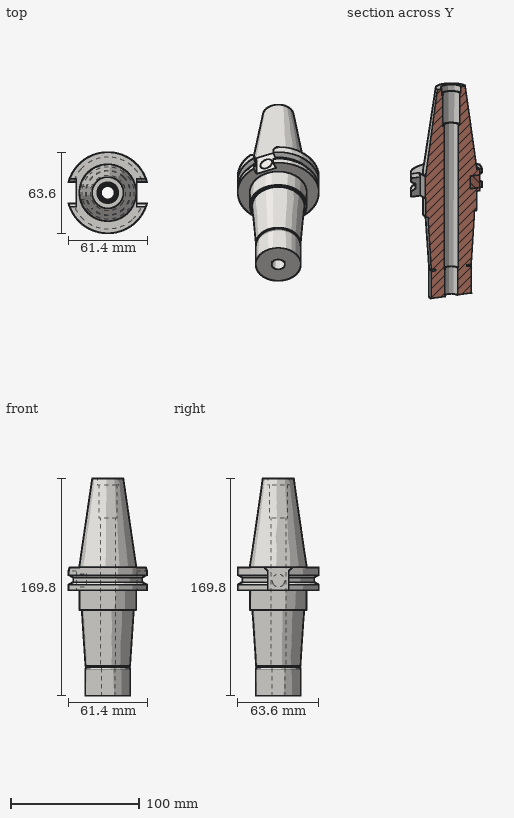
import cadquery as cq
import math

total_height = 169.8
taper_base_z = 101.4
flange_top_z = 100.4
flange_bottom_z = 82.4
collar_bottom_z = 66.8
body_bottom_z = 23.5
nose_top_z = 22.5

taper_top_radius = 12.2
taper_base_radius = 22.3
flange_radius = 31.8
groove_radius = 28.2
body_top_radius = 20.4
body_bottom_radius = 17.5
neck_radius = 13.8
collar_chamfer = 0.5

groove_center_z = 90.7
groove_floor_width = 3.4
groove_flank_angle = 30.0

slot_width = 16.5
left_slot_floor = 24.8
right_slot_floor = 22.8
slot_chamfer = 2.7

chip_diameter = 9.9
chip_depth = 8.2
chip_z = 90.4

mouth_radius = 8.2
mouth_depth = 5.1
thread_radius = 7.1
thread_depth = 30.5
through_radius = 6.0
nose_bore_radius = 5.3

nose_radius = 17.7
nose_chamfer_height = 1.7
nose_chamfer_width = 0.5


def revolve_profile(points):
    """Turn a closed (radius, z) outline about the Z axis."""
    return cq.Workplane("XZ").polyline(points).close().revolve(360, (0, 0), (0, 1))


def bore(radius, bottom_z, top_z):
    """Cylinder on the Z axis between two heights."""
    return cq.Workplane("XY", origin=(0, 0, bottom_z)).circle(radius).extrude(top_z - bottom_z)


def drive_slot(side, floor):
    """Cutter for one slot with a chamfered mouth; side is -1 for -X and +1 for +X."""
    half_width = slot_width / 2
    mouth_half_width = half_width + slot_chamfer
    chamfer_z = flange_top_z - slot_chamfer
    outline = [
        (-half_width, flange_bottom_z),
        (half_width, flange_bottom_z),
        (half_width, chamfer_z),
        (mouth_half_width, flange_top_z),
        (-mouth_half_width, flange_top_z),
        (-half_width, chamfer_z),
    ]
    return (
        cq.Workplane("YZ", origin=(side * floor, 0, 0))
        .polyline(outline)
        .close()
        .extrude(side * flange_radius)
    )


def make_chip():
    """Data chip: a disc whose outer face is level with the left slot floor."""
    return (
        cq.Workplane("YZ", origin=(-left_slot_floor, 0, chip_z))
        .circle(chip_diameter / 2)
        .extrude(chip_depth)
    )


def make_holder():
    """Taper shank, grooved flange, collar, tapered body and nose, bored through."""
    floor_half = groove_floor_width / 2
    flank_depth = flange_radius - groove_radius
    mouth_half = floor_half + flank_depth * math.tan(math.radians(groove_flank_angle))
    holder = revolve_profile([
        (0, 0),
        (nose_radius, 0),
        (nose_radius, nose_top_z - nose_chamfer_height),
        (nose_radius - nose_chamfer_width, nose_top_z),
        (neck_radius, nose_top_z),
        (neck_radius, body_bottom_z),
        (body_bottom_radius, body_bottom_z),
        (body_top_radius, collar_bottom_z),
        (taper_base_radius - collar_chamfer, collar_bottom_z),
        (taper_base_radius, collar_bottom_z + collar_chamfer),
        (taper_base_radius, flange_bottom_z),
        (flange_radius, flange_bottom_z),
        (flange_radius, groove_center_z - mouth_half),
        (groove_radius, groove_center_z - floor_half),
        (groove_radius, groove_center_z + floor_half),
        (flange_radius, groove_center_z + mouth_half),
        (flange_radius, flange_top_z),
        (taper_base_radius, flange_top_z),
        (taper_base_radius, taper_base_z),
        (taper_top_radius, total_height),
        (0, total_height),
    ])

    holder = holder.cut(drive_slot(-1, left_slot_floor))
    holder = holder.cut(drive_slot(1, right_slot_floor))

    holder = holder.cut(make_chip())

    holder = holder.cut(bore(nose_bore_radius, 0, nose_top_z))
    holder = holder.cut(bore(through_radius, nose_top_z, total_height))
    holder = holder.cut(bore(thread_radius, total_height - thread_depth, total_height))
    return holder.cut(bore(mouth_radius, total_height - mouth_depth, total_height))


holder = make_holder()
chip = make_chip()

result = cq.Compound.makeCompound([holder.val(), chip.val()])